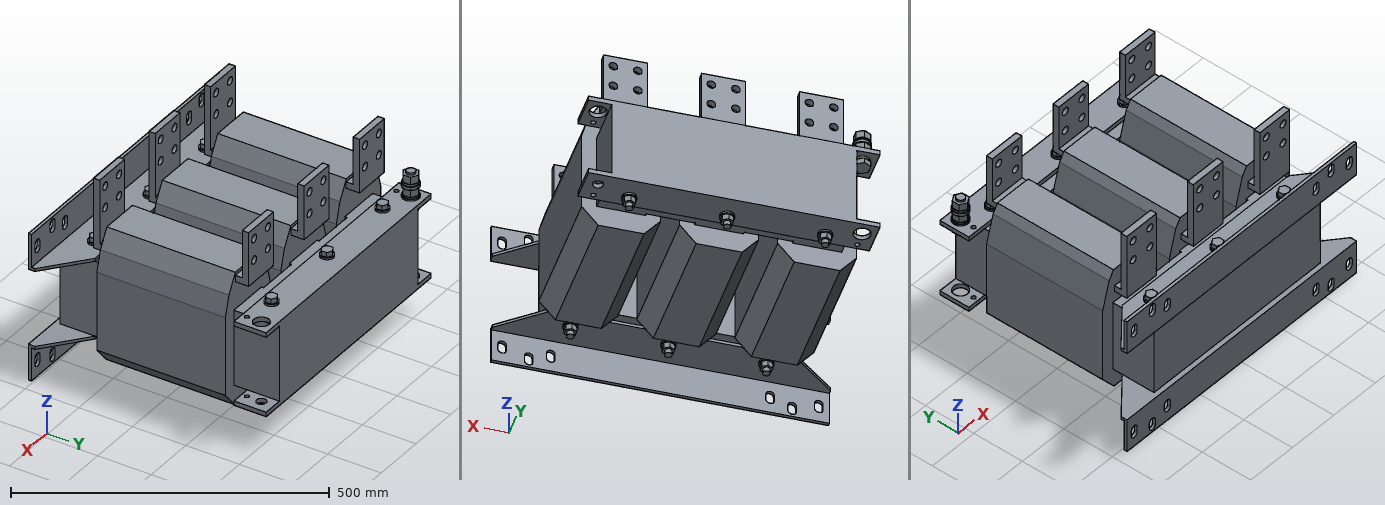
import cadquery as cq
import math


TOTAL_WIDTH = 552.0
TOTAL_DEPTH = 419.55
TOTAL_HEIGHT = 358.3

CORE_DEPTH = 410.0
CORE_HEIGHT = 140.0
PHASE_PITCH = 160.0
LEG_WIDTH = 80.0
YOKE_WIDTH = 81.0
CORE_WIDTH = 2 * PHASE_PITCH + LEG_WIDTH
CORE_FRONT = TOTAL_DEPTH - CORE_DEPTH
CORE_MID_Y = TOTAL_DEPTH - CORE_DEPTH / 2
FRONT_YOKE_Y = CORE_FRONT + YOKE_WIDTH / 2
REAR_YOKE_Y = TOTAL_DEPTH - YOKE_WIDTH / 2
PHASE_X = (-PHASE_PITCH, 0.0, PHASE_PITCH)

FLANGE_HEIGHT = 67.0
FLANGE_THICKNESS = 6.0
SHEET_THICKNESS = 5.5
SHEET_DEPTH = 75.5
SHEET_STRAIGHT_EDGE = 12.5
CORE_BOTTOM = FLANGE_HEIGHT
CORE_TOP = CORE_BOTTOM + CORE_HEIGHT
CORE_MID_Z = (CORE_BOTTOM + CORE_TOP) / 2

SLOT_WIDTH = 14.0
SLOT_LENGTH = 24.0
SLOT_POSITIONS = ((258.5, 30.5), (215.0, 16.5), (179.0, 30.5))

PLATE_WIDTH = 476.0
PLATE_DEPTH = 60.0
PLATE_THICKNESS = 8.5
EARTH_X = 215.5
EARTH_Y = TOTAL_DEPTH - 23.5
EARTH_HOLE_DIAMETER = 17.0
ACCESS_HOLE_DIAMETER = 28.0
SMALL_HOLE_DIAMETER = 8.0
SMALL_HOLE_Y = TOTAL_DEPTH - 50.5

COIL_LENGTH = 240.0
COIL_HALF_WIDTH = 64.5
COIL_BASE_HALF_WIDTH = 37.5
COIL_BOTTOM = 29.0
COIL_LOWER_EDGE = 61.0
COIL_SIDE_TOP = 206.5
COIL_TOP = 275.5
COIL_LEFT_FLAT = 38.5
COIL_LEFT_SHOULDER = 49.0
COIL_LEFT_SHOULDER_Z = 259.5
COIL_RIGHT_FLAT = 35.5
COIL_RIGHT_SHOULDER = 54.0
COIL_RIGHT_SHOULDER_Z = 243.0
COIL_FRONT = CORE_MID_Y - COIL_LENGTH / 2
COIL_REAR = CORE_MID_Y + COIL_LENGTH / 2

LUG_WIDTH = 71.5
LUG_THICKNESS = 12.0
LUG_EMBEDDING = 10.0
LUG_REACH = 25.0
FRONT_LUG_BOTTOM = 228.0
REAR_LUG_BOTTOM = 258.0
LUG_HOLE_DIAMETER = 14.0
LUG_HOLE_PITCH = 40.0
LUG_HOLE_TOP_OFFSET = 19.5

HEX_SIDES = 6

BOLT_DIAMETER = 12.0
BOLT_WASHER_DIAMETER = 24.0
BOLT_WASHER_THICKNESS = 3.5
BOLT_HEX_FLATS = 18.0
BOLT_HEAD_HEIGHT = 9.0
BOLT_NUT_HEIGHT = 10.5
BOLT_END_LENGTH = 8.0

EARTH_BOLT_DIAMETER = 16.0
EARTH_HEX_FLATS = 24.5
EARTH_HEAD_HEIGHT = 9.5
EARTH_NUT_HEIGHT = 14.0
EARTH_END_LENGTH = 4.0
EARTH_WASHER_DIAMETER = 30.0
EARTH_WASHER_THICKNESS = 3.0
SPRING_WASHER_DIAMETER = 27.0
SPRING_WASHER_THICKNESS = 4.0
CONTACT_WASHER_THICKNESS = 6.0


def box(x_range, y_range, z_range):
    """Axis-aligned box between the given limits."""
    sizes = [high - low for low, high in (x_range, y_range, z_range)]
    corner = (x_range[0], y_range[0], z_range[0])
    return cq.Workplane("XY").box(*sizes, centered=False).translate(corner)


def disc(x, y, z, diameter, height):
    """Vertical cylinder rising from z."""
    return cq.Workplane("XY", origin=(x, y, z)).circle(diameter / 2).extrude(height)


def hexagon(x, y, z, across_flats, height):
    """Vertical hexagonal prism rising from z, with two corners along Y."""
    across_corners = across_flats / math.cos(math.pi / HEX_SIDES)
    plane = cq.Workplane("XY", origin=(x, y, z)).transformed(rotate=(0, 0, 90))
    return plane.polygon(HEX_SIDES, across_corners).extrude(height)


def make_core():
    """Three-legged core with two windows."""
    half_width = CORE_WIDTH / 2
    core = box((-half_width, half_width), (CORE_FRONT, TOTAL_DEPTH), (CORE_BOTTOM, CORE_TOP))
    window_half = (PHASE_PITCH - LEG_WIDTH) / 2
    window_y = (CORE_FRONT + YOKE_WIDTH, TOTAL_DEPTH - YOKE_WIDTH)
    for x in (-PHASE_PITCH / 2, PHASE_PITCH / 2):
        window = box((x - window_half, x + window_half), window_y, (CORE_BOTTOM, CORE_TOP))
        core = core.cut(window)
    return core


def make_coil(x):
    """Coil with a bevelled outline, wound around the leg at x."""
    outline = [
        (-COIL_BASE_HALF_WIDTH, COIL_BOTTOM),
        (COIL_BASE_HALF_WIDTH, COIL_BOTTOM),
        (COIL_HALF_WIDTH, COIL_LOWER_EDGE),
        (COIL_HALF_WIDTH, COIL_SIDE_TOP),
        (COIL_RIGHT_SHOULDER, COIL_RIGHT_SHOULDER_Z),
        (COIL_RIGHT_FLAT, COIL_TOP),
        (-COIL_LEFT_FLAT, COIL_TOP),
        (-COIL_LEFT_SHOULDER, COIL_LEFT_SHOULDER_Z),
        (-COIL_HALF_WIDTH, COIL_SIDE_TOP),
        (-COIL_HALF_WIDTH, COIL_LOWER_EDGE),
    ]
    profile = cq.Workplane("XZ", origin=(x, COIL_REAR, 0)).polyline(outline).close()
    return profile.extrude(COIL_LENGTH)


def make_lug(x, coil_face, outward, bottom):
    """L-shaped terminal with four holes; outward is -1 at the front and +1 at the rear."""
    tip = coil_face + outward * LUG_REACH
    inner = tip - outward * LUG_THICKNESS
    root = coil_face - outward * LUG_EMBEDDING
    outline = [
        (root, bottom),
        (tip, bottom),
        (tip, TOTAL_HEIGHT),
        (inner, TOTAL_HEIGHT),
        (inner, bottom + LUG_THICKNESS),
        (root, bottom + LUG_THICKNESS),
    ]
    profile = cq.Workplane("YZ", origin=(x - LUG_WIDTH / 2, 0, 0)).polyline(outline).close()
    lug = profile.extrude(LUG_WIDTH)
    hole_z = TOTAL_HEIGHT - LUG_HOLE_TOP_OFFSET - LUG_HOLE_PITCH / 2
    holes = (
        cq.Workplane("XZ", origin=(x, (tip + inner) / 2, hole_z))
        .rarray(LUG_HOLE_PITCH, LUG_HOLE_PITCH, 2, 2)
        .circle(LUG_HOLE_DIAMETER / 2)
        .extrude(LUG_THICKNESS, both=True)
    )
    return lug.cut(holes)


def make_lower_bracket():
    """Angle bracket under the front yoke: tapered sheet and a slotted flange hanging down."""
    outer = TOTAL_WIDTH / 2
    inner = CORE_WIDTH / 2
    sheet_outline = [
        (-outer, 0),
        (outer, 0),
        (outer, SHEET_STRAIGHT_EDGE),
        (inner, SHEET_DEPTH),
        (-inner, SHEET_DEPTH),
        (-outer, SHEET_STRAIGHT_EDGE),
    ]
    sheet_bottom = FLANGE_HEIGHT - SHEET_THICKNESS
    sheet_profile = cq.Workplane("XY", origin=(0, 0, sheet_bottom)).polyline(sheet_outline).close()
    sheet = sheet_profile.extrude(SHEET_THICKNESS)
    flange = box((-outer, outer), (0, FLANGE_THICKNESS), (0, FLANGE_HEIGHT))
    slot_points = [(side * x, z) for x, z in SLOT_POSITIONS for side in (-1, 1)]
    slots = (
        cq.Workplane("XZ")
        .pushPoints(slot_points)
        .slot2D(SLOT_LENGTH, SLOT_WIDTH, 90)
        .extrude(-FLANGE_THICKNESS)
    )
    return sheet.union(flange).cut(slots)


def make_rear_plate(bottom, access_side):
    """Rear clamp plate; access_side (-1 or +1) is the end with the large access hole."""
    half_width = PLATE_WIDTH / 2
    y_range = (TOTAL_DEPTH - PLATE_DEPTH, TOTAL_DEPTH)
    plate = box((-half_width, half_width), y_range, (bottom, bottom + PLATE_THICKNESS))
    holes = [
        (access_side * EARTH_X, EARTH_Y, ACCESS_HOLE_DIAMETER),
        (-access_side * EARTH_X, EARTH_Y, EARTH_HOLE_DIAMETER),
        (-EARTH_X, SMALL_HOLE_Y, SMALL_HOLE_DIAMETER),
        (EARTH_X, SMALL_HOLE_Y, SMALL_HOLE_DIAMETER),
    ]
    for x, y, diameter in holes:
        plate = plate.cut(disc(x, y, bottom, diameter, PLATE_THICKNESS))
    return plate


def make_stack(x, y, z, items):
    """Pile of (shape, size, height) hardware items rising from z."""
    stack = cq.Workplane("XY")
    for shape, size, height in items:
        stack = stack.union(shape(x, y, z, size, height))
        z += height
    return stack


def make_clamp_bolt(x, y, clamp_thickness):
    """Head and washer above the core, washer, nut and thread end below it."""
    washer = (disc, BOLT_WASHER_DIAMETER, BOLT_WASHER_THICKNESS)
    upper = [washer, (hexagon, BOLT_HEX_FLATS, BOLT_HEAD_HEIGHT)]
    lower = [
        (disc, BOLT_DIAMETER, BOLT_END_LENGTH),
        (hexagon, BOLT_HEX_FLATS, BOLT_NUT_HEIGHT),
        washer,
    ]
    lower_height = sum(height for _, _, height in lower)
    head = make_stack(x, y, CORE_TOP + clamp_thickness, upper)
    return head.union(make_stack(x, y, CORE_BOTTOM - clamp_thickness - lower_height, lower))


def make_earth_bolt():
    """Earthing bolt through the left end of the upper rear plate."""
    washer = (disc, EARTH_WASHER_DIAMETER, EARTH_WASHER_THICKNESS)
    spring_washer = (disc, SPRING_WASHER_DIAMETER, SPRING_WASHER_THICKNESS)
    nut = (hexagon, EARTH_HEX_FLATS, EARTH_NUT_HEIGHT)
    items = [
        (hexagon, EARTH_HEX_FLATS, EARTH_HEAD_HEIGHT),
        spring_washer,
        (disc, EARTH_HOLE_DIAMETER, PLATE_THICKNESS),
        washer,
        (disc, SPRING_WASHER_DIAMETER, EARTH_WASHER_THICKNESS),
        nut,
        (disc, EARTH_WASHER_DIAMETER, CONTACT_WASHER_THICKNESS),
        spring_washer,
        nut,
        (disc, EARTH_BOLT_DIAMETER, EARTH_END_LENGTH),
    ]
    bottom = CORE_TOP - SPRING_WASHER_THICKNESS - EARTH_HEAD_HEIGHT
    return make_stack(-EARTH_X, EARTH_Y, bottom, items)


lower_bracket = make_lower_bracket()
upper_bracket = lower_bracket.mirror("XY", (0, 0, CORE_MID_Z))

result = make_core().union(lower_bracket).union(upper_bracket)
result = result.union(make_rear_plate(CORE_BOTTOM - PLATE_THICKNESS, -1))
result = result.union(make_rear_plate(CORE_TOP, 1))
result = result.union(make_earth_bolt())
for phase_x in PHASE_X:
    result = result.union(make_coil(phase_x))
    result = result.union(make_lug(phase_x, COIL_FRONT, -1, FRONT_LUG_BOTTOM))
    result = result.union(make_lug(phase_x, COIL_REAR, 1, REAR_LUG_BOTTOM))
    result = result.union(make_clamp_bolt(phase_x, FRONT_YOKE_Y, SHEET_THICKNESS))
    result = result.union(make_clamp_bolt(phase_x, REAR_YOKE_Y, PLATE_THICKNESS))